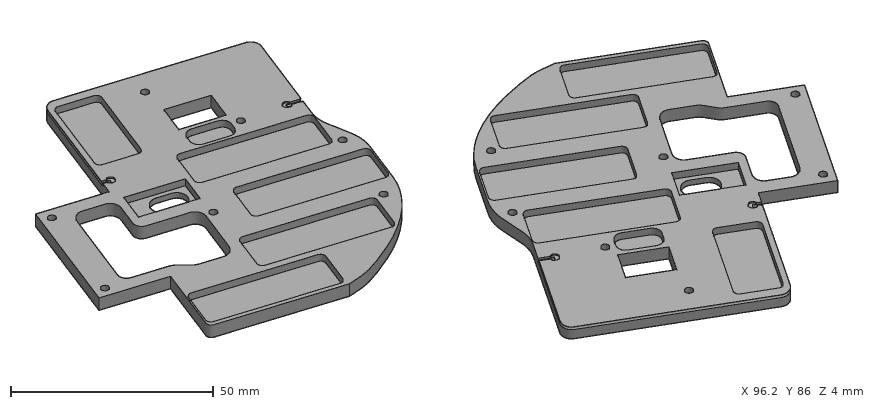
import cadquery as cq
import math

thickness = 4.0
plate_width = 96.2
plate_depth = 86.0
left_front_y = 20.15
left_back_y = 78.7
left_corner_radius = 3.0
right_front_y = 19.6
right_corner_radius = 1.5
tab_left_x = 38.1
tab_width = 36.4
tab_right_x = tab_left_x + tab_width

rise_start_x = 34.7
rise_end_x = 46.3
rise_start_radius = 10.0
rise_end_radius = 13.0
shoulder_start_x = 63.0
right_side_top_y = 58.3
shoulder_points = [(73.7, 83.4), (84.5, 75.6), (90.8, 68.4), (plate_width, right_side_top_y)]
shoulder_end_direction = (1.0, -3.0)

pocket_depth = 2.2
key_width = 12.5
key_length = 37.6
key_radius = 1.5
key_centers = [(38.45, 59.8), (56.3, 66.75), (74.4, 59.8), (88.8, 38.85)]
long_pocket_size = (25.2, 12.7)
long_pocket_center = (15.2, 28.1)
small_pocket_size = (6.6, 12.2)
small_pocket_center = (28.0, 52.8)
small_pocket_radius = 2.5
recess_size = (8.5, 16.9)
recess_center = (45.9, 30.9)

screw_diameter = 2.2
screw_centers = [
    (44.7, 81.0), (68.2, 81.0), (27.05, 61.55), (6.75, 45.0),
    (56.4, 40.0), (41.2, 3.0), (71.65, 3.0),
]
square_window_size = (8.6, 13.0)
square_window_center = (19.25, 52.7)
slot_width = 6.0
slot_length = 10.2
slot_center = (45.9, 32.9)

opening_left_x = 42.05
opening_step_x = 54.05
opening_right_x = 73.15
opening_neck_x = 70.7
opening_bottom_y = 8.05
opening_step_y = left_front_y
opening_top_y = 37.7
neck_top_y = 27.0
neck_bottom_y = 22.1
neck_radius = 5.0
opening_radius = 3.0
opening_small_radius = 2.5

wire_diameter = 1.0
wire_radius = wire_diameter / 2
groove_center_z = 3.52
groove_offset = 0.25
groove_overrun = 0.35
channel_width = 1.0
channel_depth = 0.65
seat_diameter = 2.4
seat_depth = 0.45
back_seat = (26.25, 74.55)
front_seat = (34.1, 22.5)


def round_upright_edges(body, corners):
    """Round the upright edge nearest to each (x, y, radius)."""
    for x, y, radius in corners:
        nearest = cq.selectors.NearestToPointSelector((x, y, thickness / 2))
        body = body.edges("|Z").edges(nearest).fillet(radius)
    return body


def rounded_block(size, center, radius, floor_z):
    """Cutter with rounded upright edges, from floor_z up to the top face."""
    block = cq.Workplane("XY", origin=(*center, floor_z)).rect(*size).extrude(thickness - floor_z)
    if radius > 0:
        block = block.edges("|Z").fillet(radius)
    return block


def make_plate():
    outline = (
        cq.Workplane("XY")
        .moveTo(plate_width, right_front_y)
        .lineTo(tab_right_x, right_front_y)
        .lineTo(tab_right_x, 0)
        .lineTo(tab_left_x, 0)
        .lineTo(tab_left_x, left_front_y)
        .lineTo(0, left_front_y)
        .lineTo(0, left_back_y)
        .lineTo(rise_start_x, left_back_y)
        .lineTo(rise_end_x, plate_depth)
        .lineTo(shoulder_start_x, plate_depth)
        .spline(shoulder_points, tangents=[(1.0, 0.0), shoulder_end_direction], includeCurrent=True)
        .close()
    )
    return round_upright_edges(outline.extrude(thickness), [
        (0, left_front_y, left_corner_radius),
        (0, left_back_y, left_corner_radius),
        (rise_start_x, left_back_y, rise_start_radius),
        (rise_end_x, plate_depth, rise_end_radius),
        (plate_width, right_front_y, right_corner_radius),
    ])


def make_large_opening():
    outline = cq.Workplane("XY").polyline([
        (opening_left_x, opening_bottom_y),
        (opening_neck_x, opening_bottom_y),
        (opening_neck_x, neck_bottom_y),
        (opening_right_x, neck_top_y),
        (opening_right_x, opening_top_y),
        (opening_step_x, opening_top_y),
        (opening_step_x, opening_step_y),
        (opening_left_x, opening_step_y),
    ]).close()
    return round_upright_edges(outline.extrude(thickness), [
        (opening_left_x, opening_bottom_y, opening_radius),
        (opening_neck_x, opening_bottom_y, opening_small_radius),
        (opening_neck_x, neck_bottom_y, neck_radius),
        (opening_right_x, neck_top_y, neck_radius),
        (opening_right_x, opening_top_y, opening_radius),
        (opening_step_x, opening_top_y, opening_radius),
        (opening_step_x, opening_step_y, opening_small_radius),
        (opening_left_x, opening_step_y, opening_radius),
    ])


def cut_pockets(body):
    floor_z = thickness - pocket_depth
    for center in key_centers:
        body = body.cut(rounded_block((key_width, key_length), center, key_radius, floor_z))
    body = body.cut(rounded_block(long_pocket_size, long_pocket_center, key_radius, floor_z))
    body = body.cut(rounded_block(small_pocket_size, small_pocket_center, small_pocket_radius, floor_z))
    return body.cut(rounded_block(recess_size, recess_center, 0, floor_z))


def cut_openings(body):
    screws = cq.Workplane("XY").pushPoints(screw_centers).circle(screw_diameter / 2).extrude(thickness)
    body = body.cut(screws)
    body = body.cut(rounded_block(square_window_size, square_window_center, 0, 0))
    slot = cq.Workplane("XY", origin=slot_center).slot2D(slot_length, slot_width, 90).extrude(thickness)
    body = body.cut(slot)
    return body.cut(make_large_opening())


def make_side_groove():
    """Shallow round groove that follows the left outline between the two channels."""
    corner = left_corner_radius
    bend_radius = corner + groove_offset
    bend_diagonal = bend_radius * math.sqrt(0.5)
    left_x = -groove_offset
    back_y = left_back_y + groove_offset
    front_y = left_front_y - groove_offset
    back_bend_y = left_back_y - corner
    front_bend_y = left_front_y + corner
    back_end_x = back_seat[0] + groove_overrun
    front_end_x = front_seat[0] + groove_overrun
    path = (
        cq.Workplane("XY", origin=(0, 0, groove_center_z))
        .moveTo(back_end_x, back_y)
        .lineTo(corner, back_y)
        .threePointArc((corner - bend_diagonal, back_bend_y + bend_diagonal), (left_x, back_bend_y))
        .lineTo(left_x, front_bend_y)
        .threePointArc((corner - bend_diagonal, front_bend_y - bend_diagonal), (corner, front_y))
        .lineTo(front_end_x, front_y)
    )
    start = (back_end_x, back_y, groove_center_z)
    return cq.Workplane("YZ", origin=start).circle(wire_radius).sweep(path)


def make_channel(seat, edge_y):
    """Flat-floored channel from the seat centre out through the plate edge."""
    x, seat_y = seat
    channel = cq.Workplane("XY", origin=(x, (seat_y + edge_y) / 2, thickness - channel_depth))
    return channel.rect(channel_width, abs(edge_y - seat_y)).extrude(channel_depth)


def cut_wire_groove(body):
    body = body.cut(make_side_groove())
    for seat, edge_y in ((back_seat, left_back_y), (front_seat, left_front_y)):
        round_seat = (
            cq.Workplane("XY", origin=(*seat, thickness - seat_depth))
            .circle(seat_diameter / 2)
            .extrude(seat_depth)
        )
        body = body.cut(round_seat).cut(make_channel(seat, edge_y))
    return body


result = cut_wire_groove(cut_openings(cut_pockets(make_plate())))